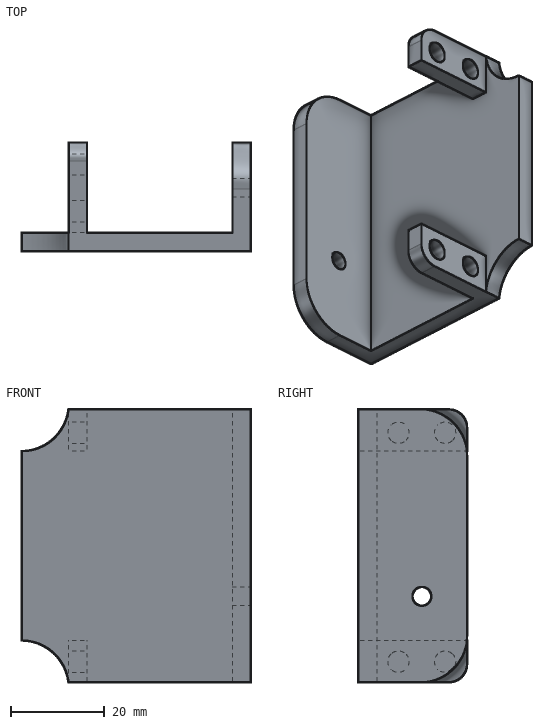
import cadquery as cq

width = 49.0
depth = 23.3
height = 58.4
thickness = 4.0

ledge = 10.05
scoop_radius = 10.05
tab_height = 8.95
tab_corner_radius = 4.0

wall_corner_radius = 10.0
wall_hole_diameter = 4.0
wall_hole_y = 13.6
wall_hole_z = 18.4

tab_hole_diameter = 4.55
tab_hole_ys = (8.6, 18.6)
lower_hole_z = 4.45
upper_hole_z = height - 5.0


def rounded_wall(x_start, corner_radius):
    """Full-height wall with its two free corners rounded."""
    wall = cq.Workplane("XY").box(thickness, depth, height, centered=False)
    wall = wall.edges("|X and >Y").fillet(corner_radius)
    return wall.translate((x_start, 0, 0))


def hole_cutter(x_start, y, z, diameter):
    """Cylinder along X that passes through one wall thickness."""
    return cq.Workplane("YZ", origin=(x_start, y, z)).circle(diameter / 2).extrude(thickness)


def make_plate():
    """Back plate with a round scoop out of each left-hand corner."""
    plate = cq.Workplane("XY").box(width, thickness, height, centered=False)
    overshoot = scoop_radius - tab_height
    for z in (-overshoot, height + overshoot):
        scoop = cq.Workplane("XZ", origin=(0, 0, z)).circle(scoop_radius).extrude(-thickness)
        plate = plate.cut(scoop)
    return plate


def make_tabs():
    """Left wall reduced to an upper and a lower tab, each with two holes."""
    tabs = rounded_wall(ledge, tab_corner_radius)
    gap = cq.Workplane("XY").box(thickness, depth - thickness, height - 2 * tab_height, centered=False)
    tabs = tabs.cut(gap.translate((ledge, thickness, tab_height)))
    for y in tab_hole_ys:
        for z in (lower_hole_z, upper_hole_z):
            tabs = tabs.cut(hole_cutter(ledge, y, z, tab_hole_diameter))
    return tabs


def make_right_wall():
    """Solid right wall with a single through hole."""
    x_start = width - thickness
    wall = rounded_wall(x_start, wall_corner_radius)
    return wall.cut(hole_cutter(x_start, wall_hole_y, wall_hole_z, wall_hole_diameter))


result = make_plate().union(make_tabs()).union(make_right_wall())